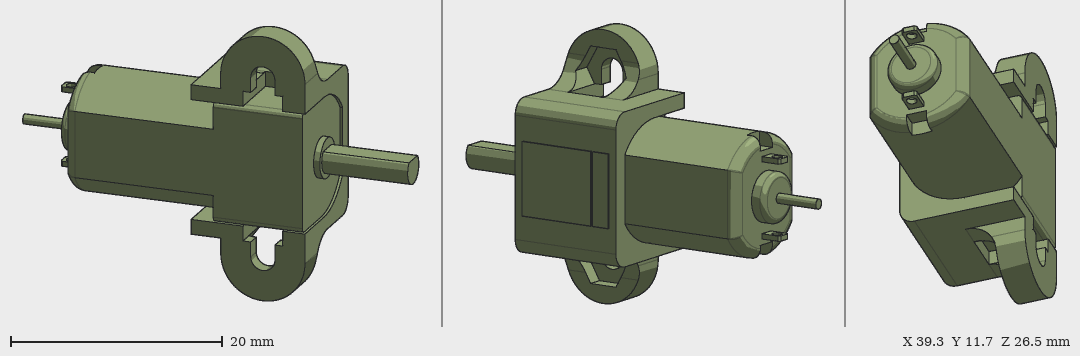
import cadquery as cq
import math


bushing_start = 4.5
can_start = 5.95
can_length = 15.0
gearbox_length = 9.0
gearbox_start = can_start + can_length
gearbox_end = gearbox_start + gearbox_length
bracket_overhang = 0.27
bracket_end = gearbox_end + bracket_overhang
collar_length = 0.63
collar_end = gearbox_end + collar_length
total_length = 39.27

can_diameter = 12.0
can_width = 10.0
can_fillet = 1.02
notch_width = 2.0
notch_length = 1.5
notch_floor = 4.55
bushing_diameter = 5.0
bushing_fillet = 0.5
rear_shaft_diameter = 1.0

terminal_length = 2.05
terminal_width = 1.5
terminal_thickness = 0.5
terminal_height = 3.75
terminal_chamfer = 0.2
terminal_hole_diameter = 1.0
terminal_hole_inset = 0.82

gearbox_edge_fillet = 0.5
collar_diameter = 4.0
output_shaft_diameter = 3.0
output_flat_height = 1.0

wall = 1.5
bracket_length = 11.5
bracket_edge_fillet = 1.5
bracket_start = bracket_end - bracket_length
base_y = -can_width / 2
inner_half_height = can_diameter / 2
outer_half_height = inner_half_height + wall
back_y = can_width / 2 + wall

ear_width = 8.52
ear_thickness = 3.0
ear_fillet = 3.0
ear_span = 26.5
ear_half_span = ear_span / 2
ear_x = bracket_end - ear_width / 2
ear_hole_z = ear_half_span - ear_width / 2
ear_back_y = base_y + ear_thickness
fillet_end_y = ear_back_y + ear_fillet
screw_hole_diameter = 2.45
nut_across_flats = 5.0
nut_floor_thickness = 1.5
wall_opening_width = 4.0

strip_height = 0.2
strip_span = 7.23
strip_gap = 0.27
narrow_strip_width = 1.73
wide_strip_width = 7.78
strip_inset = 0.8
narrow_strip_start = bracket_start + strip_inset
wide_strip_start = narrow_strip_start + narrow_strip_width + strip_gap


def block(x_range, y_range, z_range):
    """Box between the given limits on each axis."""
    (x0, x1), (y0, y1), (z0, z1) = x_range, y_range, z_range
    return cq.Workplane("XY").box(x1 - x0, y1 - y0, z1 - z0, centered=False).translate((x0, y0, z0))


def rod(start, end, diameter):
    """Cylinder along the motor axis."""
    return cq.Workplane("YZ", origin=(start, 0, 0)).circle(diameter / 2).extrude(end - start)


def with_mirror(upper):
    """Upper feature together with its copy below the motor axis."""
    return upper.union(upper.mirror("XY"))


def make_can_profile(start, end):
    """Round bar with two flats facing -Y and +Y."""
    flats = block((start, end), (base_y, -base_y), (-can_diameter, can_diameter))
    return rod(start, end, can_diameter).intersect(flats)


def make_can():
    can = make_can_profile(can_start, gearbox_start)
    can = can.faces("<X").edges().fillet(can_fillet)
    notch = block(
        (can_start, can_start + notch_length),
        (-notch_width / 2, notch_width / 2),
        (notch_floor, can_diameter),
    )
    return can.cut(with_mirror(notch))


def make_rear_bushing():
    bushing = rod(bushing_start, can_start, bushing_diameter)
    return bushing.faces("<X").edges().fillet(bushing_fillet)


def make_terminals():
    terminal_start = can_start - terminal_length
    terminal = block(
        (terminal_start, can_start),
        (-terminal_width / 2, terminal_width / 2),
        (terminal_height - terminal_thickness / 2, terminal_height + terminal_thickness / 2),
    )
    terminal = terminal.edges("<X and |Z").chamfer(terminal_chamfer)
    hole = (
        cq.Workplane("XY")
        .center(terminal_start + terminal_hole_inset, 0)
        .circle(terminal_hole_diameter / 2)
        .extrude(can_diameter)
    )
    return with_mirror(terminal.cut(hole))


def make_gearbox():
    gearbox = block(
        (gearbox_start, gearbox_end),
        (base_y, -base_y),
        (-inner_half_height, inner_half_height),
    )
    return gearbox.edges("<Y and |X").fillet(gearbox_edge_fillet)


def make_output_shaft():
    shaft = rod(collar_end, total_length, output_shaft_diameter)
    above_flat = block(
        (collar_end, total_length),
        (-output_shaft_diameter, output_shaft_diameter),
        (output_flat_height, output_shaft_diameter),
    )
    return shaft.cut(above_flat)


def make_channel():
    """U-shaped bracket body, open towards -Y and rounded inside to seat the can."""
    outside = block(
        (bracket_start, bracket_end),
        (base_y, back_y),
        (-outer_half_height, outer_half_height),
    )
    outside = outside.edges(">Y and |X").fillet(bracket_edge_fillet)
    opening = block(
        (bracket_start, bracket_end),
        (base_y, 0),
        (-inner_half_height, inner_half_height),
    )
    seat = make_can_profile(bracket_start, bracket_end)
    return outside.cut(opening).cut(seat)


def make_ear():
    """Upper ear: a round-ended plate that sweeps into the channel wall."""
    fillet_top_z = outer_half_height + ear_fillet
    diagonal = ear_fillet * (1 - math.sqrt(0.5))
    side_profile = (
        cq.Workplane("YZ", origin=(ear_x - ear_width / 2, 0, 0))
        .moveTo(base_y, inner_half_height)
        .lineTo(base_y, ear_half_span)
        .lineTo(ear_back_y, ear_half_span)
        .lineTo(ear_back_y, fillet_top_z)
        .threePointArc(
            (ear_back_y + diagonal, outer_half_height + diagonal),
            (fillet_end_y, outer_half_height),
        )
        .lineTo(fillet_end_y, inner_half_height)
        .close()
        .extrude(ear_width)
    )
    round_outline = (
        cq.Workplane("XZ", origin=(0, base_y, 0))
        .moveTo(ear_x - ear_width / 2, inner_half_height)
        .lineTo(ear_x - ear_width / 2, ear_hole_z)
        .threePointArc((ear_x, ear_half_span), (ear_x + ear_width / 2, ear_hole_z))
        .lineTo(ear_x + ear_width / 2, inner_half_height)
        .close()
        .extrude(-(fillet_end_y - base_y))
    )
    return side_profile.intersect(round_outline)


def make_ear_cutout():
    """Screw slot, hexagonal nut pocket and the opening below them in the channel wall."""
    hole = (
        cq.Workplane("XZ", origin=(ear_x, base_y, ear_hole_z))
        .circle(screw_hole_diameter / 2)
        .extrude(-ear_thickness)
    )
    slot = block(
        (ear_x - screw_hole_diameter / 2, ear_x + screw_hole_diameter / 2),
        (base_y, ear_back_y),
        (inner_half_height, ear_hole_z),
    )
    nut_across_corners = nut_across_flats / math.cos(math.pi / 6)
    nut_floor_y = base_y + nut_floor_thickness
    nut = (
        cq.Workplane("XZ", origin=(ear_x, nut_floor_y, ear_hole_z))
        .polygon(6, nut_across_corners)
        .extrude(-(fillet_end_y - nut_floor_y))
    )
    wall_opening = block(
        (ear_x - wall_opening_width / 2, ear_x + wall_opening_width / 2),
        (base_y, fillet_end_y),
        (inner_half_height, outer_half_height),
    )
    return hole.union(slot).union(nut).union(wall_opening)


def make_back_strip(start, width):
    return block(
        (start, start + width),
        (back_y - wall / 2, back_y + strip_height),
        (-strip_span / 2, strip_span / 2),
    )


bracket = make_channel().union(with_mirror(make_ear())).cut(with_mirror(make_ear_cutout()))
bracket = bracket.union(make_back_strip(narrow_strip_start, narrow_strip_width))
bracket = bracket.union(make_back_strip(wide_strip_start, wide_strip_width))

result = (
    make_can()
    .union(make_rear_bushing())
    .union(rod(0, bushing_start, rear_shaft_diameter))
    .union(make_terminals())
    .union(make_gearbox())
    .union(rod(gearbox_end, collar_end, collar_diameter))
    .union(make_output_shaft())
    .union(bracket)
)